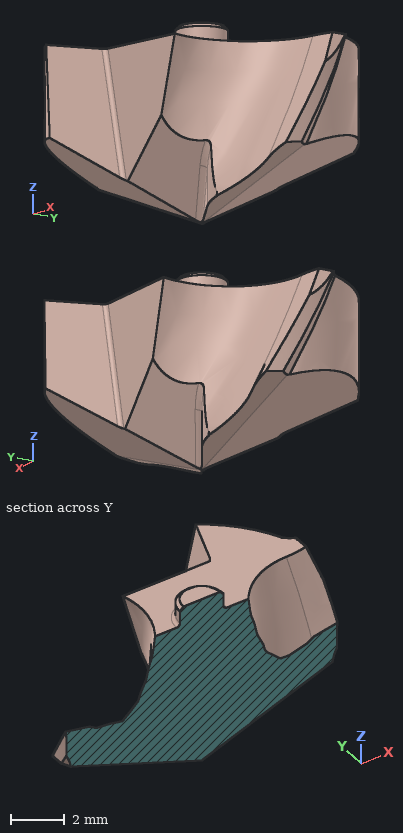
import cadquery as cq
import math


land_radius = 6.1
relief_radius = 5.85
point_depth = 6.61
clear = 20.0

helix_angle = 30.0
twist_per_mm = math.degrees(math.tan(math.radians(helix_angle)) / land_radius)
blank_depth = 7.5

flute_radius = 3.2
flute_center = (4.74, -1.81)
lip_hook = (5.90, 1.57)

land_end_angle = 21.1
step_mid_radius = 5.92
step_mid_angle = 23.4
relief_start_angle = 25.2

pocket_corner = (2.285, 2.76)
pocket_wall_angle = 69.9
pocket_lean = (0.19, 0.0125)
pocket_fillet = 0.2

chamfer_start = 5.71
chamfer_angle = 15.0

point_rise_angle = 20.0
point_slope = math.tan(math.radians(point_rise_angle))
primary_faces = (-point_slope, -0.11)
secondary_faces = (-point_slope, -0.386)

thinning_floor = (1.121, -0.981)
thinning_fillet = 0.28
thinning_wall_start = (-0.6, 0.40)
thinning_wall_bend = (1.28, -0.82)
thinning_wall_end = (2.05, -1.0)

pin_radius = 0.985
pin_height = 0.85
pin_chamfer = 0.16
pin_fillet = 0.15
pin_embed = 1.0


def polar(radius, angle):
    return (radius * math.cos(math.radians(angle)), radius * math.sin(math.radians(angle)))


def turned(shape):
    """The same shape half a turn round the axis."""
    return shape.rotate((0, 0, 0), (0, 0, 1), 180)


def opposite(point):
    return (-point[0], -point[1])


def half_space(origin, normal):
    """A large block on the side of a plane that the normal points to."""
    plane = cq.Plane(origin=origin, normal=normal)
    return cq.Workplane(plane).rect(2 * clear, 2 * clear).extrude(clear)


def below_face(depth, slopes):
    """Everything below the sloping plane that crosses the axis at the given depth."""
    return half_space((0, 0, -depth), (slopes[0], slopes[1], -1))


def flute_exit_angle():
    """Polar angle at which the flute circle leaves the relieved body."""
    reach = math.hypot(*flute_center)
    cosine = (reach**2 + relief_radius**2 - flute_radius**2) / (2 * reach * relief_radius)
    center_angle = math.degrees(math.atan2(flute_center[1], flute_center[0]))
    return center_angle - math.degrees(math.acos(cosine))


def helical_body():
    exit_angle = flute_exit_angle()
    exit_point = polar(relief_radius, exit_angle)
    flute_mid = (flute_center[0] - flute_radius, flute_center[1])
    flute_top = (flute_center[0], flute_center[1] + flute_radius)
    hook_angle = math.degrees(math.atan2(lip_hook[1], lip_hook[0]))
    land_mid = polar(land_radius, (hook_angle + land_end_angle) / 2)
    land_end = polar(land_radius, land_end_angle)
    step_mid = polar(step_mid_radius, step_mid_angle)
    relief_start = polar(relief_radius, relief_start_angle)
    relief_mid = polar(relief_radius, (relief_start_angle + exit_angle + 180) / 2)

    section = cq.Workplane("XY").workplane(offset=-blank_depth).moveTo(*exit_point)
    for place in (tuple, opposite):
        section = (
            section.threePointArc(place(flute_mid), place(flute_top))
            .tangentArcPoint(place(lip_hook), relative=False)
            .threePointArc(place(land_mid), place(land_end))
            .threePointArc(place(step_mid), place(relief_start))
            .threePointArc(place(relief_mid), opposite(place(exit_point)))
        )
    body = section.close().twistExtrude(blank_depth, twist_per_mm * blank_depth)
    return body.rotate((0, 0, 0), (0, 0, 1), -twist_per_mm * blank_depth)


def chip_pocket():
    wall = polar(clear, pocket_wall_angle)
    corner_x, corner_y = pocket_corner
    outline = [
        pocket_corner,
        (corner_x + wall[0], corner_y + wall[1]),
        (corner_x - clear, corner_y + wall[1]),
        (corner_x - clear, corner_y),
    ]
    drift = (-blank_depth * pocket_lean[0], -blank_depth * pocket_lean[1])
    lower = [(x + drift[0], y + drift[1]) for x, y in outline]
    pocket = (
        cq.Workplane("XY").polyline(outline).close()
        .workplane(offset=-blank_depth).polyline(lower).close()
        .loft(ruled=True)
    )
    corner_middle = (corner_x + drift[0] / 2, corner_y + drift[1] / 2, -blank_depth / 2)
    return pocket.edges(cq.NearestToPointSelector(corner_middle)).fillet(pocket_fillet)


def land_chamfer():
    slope = math.radians(chamfer_angle)
    return half_space((chamfer_start, 0, 0), (math.cos(slope), 0, math.sin(slope)))


def floor_point(first, second):
    """The point of the notch floor in line, along Z, with the middle of two plan points."""
    x = (first[0] + second[0]) / 2
    y = (first[1] + second[1]) / 2
    return (x, y, thinning_floor[0] * x + thinning_floor[1] * y - point_depth)


def thinning_notch():
    start_x = thinning_wall_start[0]
    end_x = thinning_wall_end[0]
    notch = (
        cq.Workplane("XY").workplane(offset=-2 * blank_depth)
        .moveTo(*thinning_wall_start)
        .lineTo(*thinning_wall_bend)
        .tangentArcPoint(thinning_wall_end, relative=False)
        .lineTo(end_x, -clear)
        .lineTo(start_x - clear, -clear)
        .lineTo(start_x - clear, thinning_wall_start[1])
        .close()
        .extrude(4 * blank_depth)
        .intersect(below_face(point_depth, thinning_floor))
    )
    floor_edges = []
    for wall_limit in (thinning_wall_start, thinning_wall_end):
        near_edge = cq.NearestToPointSelector(floor_point(thinning_wall_bend, wall_limit))
        floor_edges += notch.edges(near_edge).vals()
    return notch.newObject(floor_edges).fillet(thinning_fillet)


def pin():
    root_radius = pin_radius + pin_fillet
    fillet_offset = pin_fillet * math.cos(math.radians(45))
    fillet_mid = (root_radius - fillet_offset, pin_fillet - fillet_offset)
    return (
        cq.Workplane("XZ").moveTo(0, -pin_embed).lineTo(root_radius, -pin_embed)
        .lineTo(root_radius, 0)
        .threePointArc(fillet_mid, (pin_radius, pin_fillet))
        .lineTo(pin_radius, pin_height - pin_chamfer)
        .lineTo(pin_radius - pin_chamfer, pin_height)
        .lineTo(0, pin_height).close()
        .revolve(360, (0, 0, 0), (0, 1, 0))
    )


cutters = [
    chip_pocket(),
    land_chamfer(),
    below_face(point_depth, primary_faces),
    below_face(point_depth, secondary_faces),
    thinning_notch(),
]
result = helical_body()
for cutter in cutters:
    result = result.cut(cutter).cut(turned(cutter))
result = result.union(pin())